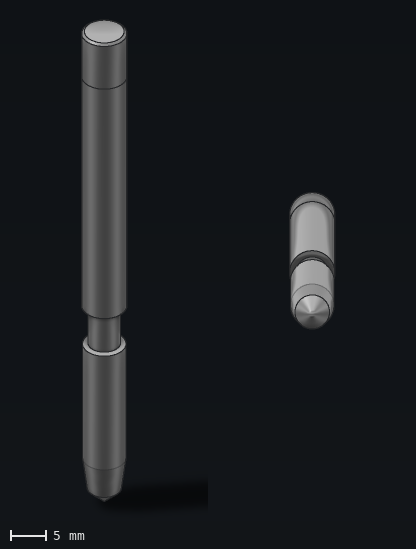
import cadquery as cq

total_length = 82.3

shank_radius = 3.25
shank_bottom_z = 34.3
cap_bottom_z = 74.5
cap_chamfer_width = 0.4
cap_chamfer_height = 0.3

neck_radius = 2.345
head_radius = 3.1
head_top_z = 27.65
head_top_rise = 0.2
taper_start_z = 7.7
tip_height = 2.5
tip_radius = tip_height


def revolve_about_z(profile):
    """Revolve an XZ half profile, given as (radius, z) points, about the Z axis."""
    return cq.Workplane("XZ").polyline(profile).close().revolve(360, (0, 0), (0, 1))


def make_cap():
    """Short cylinder with a small chamfer around its top face."""
    return revolve_about_z([
        (0, cap_bottom_z),
        (shank_radius, cap_bottom_z),
        (shank_radius, total_length - cap_chamfer_height),
        (shank_radius - cap_chamfer_width, total_length),
        (0, total_length),
    ])


def make_pin():
    """Conical tip, tapered head, thinner neck and the long shank below the cap."""
    return revolve_about_z([
        (0, 0),
        (tip_radius, tip_height),
        (head_radius, taper_start_z),
        (head_radius, head_top_z),
        (neck_radius, head_top_z + head_top_rise),
        (neck_radius, shank_bottom_z),
        (shank_radius, shank_bottom_z),
        (shank_radius, cap_bottom_z),
        (0, cap_bottom_z),
    ])


cap = make_cap()
pin = make_pin()

result = cq.Compound.makeCompound([cap.val(), pin.val()])